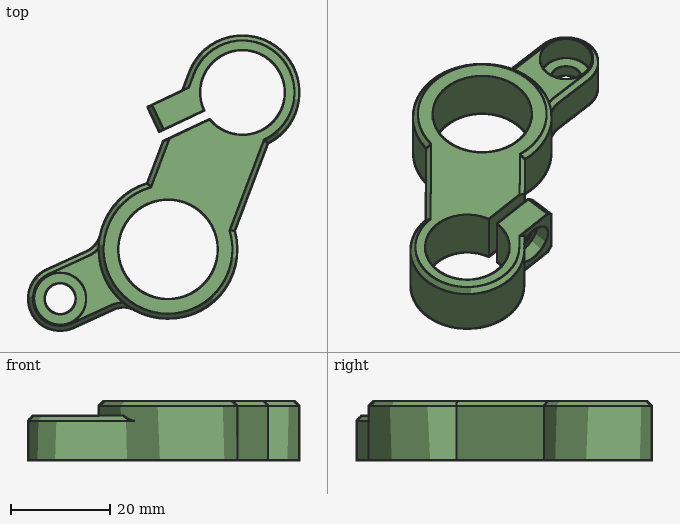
import cadquery as cq
import math

main_radius = 14.0
main_bore_radius = 10.0
height = 12.0
edge_chamfer = 1.0

clamp_x = 15.0
clamp_y = 31.65
clamp_radius = 11.5
clamp_bore_radius = 8.5

arm_angle = 69.25
arm_width = 19.95

lug_angle = 25.3
lug_length = 18.6
lug_width = 5.55
slot_width = 2.0

screw_distance = 13.4
screw_head_radius = 4.25
screw_head_depth = 3.0
screw_clearance_radius = 2.75
screw_thread_radius = 2.1
screw_thread_depth = 11.9

ear_x = -21.75
ear_y = -9.95
ear_radius = 6.5
ear_height = 9.0
ear_fillet = 5.0
ear_blend_overlap = 0.01
ear_hole_radius = 3.1
ear_recess_radius = 5.25
ear_recess_depth = 6.0


def cylinder(x, y, radius, length, base=0):
    return cq.Workplane("XY", origin=(x, y, base)).circle(radius).extrude(length)


def make_arm():
    """Straight web from the main ring to the level of the clamp ring centre."""
    angle = math.radians(arm_angle)
    along = clamp_x * math.cos(angle) + clamp_y * math.sin(angle)
    clamp_left = clamp_y * math.cos(angle) - clamp_x * math.sin(angle)
    left = clamp_left + clamp_radius
    web = cq.Workplane("XY").box(along, arm_width, height, centered=False)
    web = web.translate((0, left - arm_width, 0))
    return web.rotate((0, 0, 0), (0, 0, 1), arm_angle)


def make_ear():
    """Rounded ear blended into the main ring and closed at its centre, pointing along +X."""
    reach = math.hypot(ear_x, ear_y)
    blend_y = ear_radius + ear_fillet
    blend_end_radius = main_radius - ear_blend_overlap
    blend_distance = blend_end_radius + ear_fillet
    blend_x = math.sqrt(blend_distance**2 - blend_y**2)
    ring_x = blend_x * blend_end_radius / blend_distance
    ring_y = blend_y * blend_end_radius / blend_distance
    ring_direction = math.atan2(-blend_y, -blend_x)
    middle = (ring_direction - math.pi / 2) / 2
    middle_x = blend_x + ear_fillet * math.cos(middle)
    middle_y = blend_y + ear_fillet * math.sin(middle)
    ear = (
        cq.Workplane("XY")
        .moveTo(ring_x, ring_y)
        .threePointArc((middle_x, middle_y), (blend_x, ear_radius))
        .lineTo(reach, ear_radius)
        .threePointArc((reach + ear_radius, 0), (reach, -ear_radius))
        .lineTo(blend_x, -ear_radius)
        .threePointArc((middle_x, -middle_y), (ring_x, -ring_y))
        .lineTo(0, 0)
        .close()
        .extrude(ear_height)
        .faces(">Z")
        .edges()
        .filter(lambda edge: edge.Center().x > ring_x)
        .chamfer(edge_chamfer)
    )
    return ear.rotate((0, 0, 0), (0, 0, 1), math.degrees(math.atan2(ear_y, ear_x)))


def place_at_clamp(body):
    """Turn a body drawn about the origin, lug along -X, to the clamp ring."""
    return body.rotate((0, 0, 0), (0, 0, 1), lug_angle).translate((clamp_x, clamp_y, 0))


def make_lug():
    lug = cq.Workplane("XY").box(lug_length, lug_width, height, centered=False)
    lug = lug.translate((-lug_length, 0, 0))
    return place_at_clamp(lug.faces("<X").edges("|Y").chamfer(edge_chamfer))


def make_slot():
    slot_length = 2 * lug_length
    slot = cq.Workplane("XY").box(slot_length, slot_width, height, centered=False)
    return place_at_clamp(slot.translate((-slot_length, -slot_width, 0)))


def screw_bore(radius, start, end):
    """Bore on the screw axis between two distances measured from the slot's lug side."""
    axis_start = cq.Vector(-screw_distance, start, height / 2)
    solid = cq.Solid.makeCylinder(radius, end - start, axis_start, cq.Vector(0, 1, 0))
    return place_at_clamp(cq.Workplane(solid))


rings = cylinder(0, 0, main_radius, height).union(make_arm())
rings = rings.union(cylinder(clamp_x, clamp_y, clamp_radius, height))
rings = rings.faces(">Z").chamfer(edge_chamfer)

result = rings.union(make_ear()).union(make_lug())

result = result.cut(cylinder(0, 0, main_bore_radius, height))
result = result.cut(cylinder(clamp_x, clamp_y, clamp_bore_radius, height))
result = result.cut(make_slot())

head_seat = lug_width - screw_head_depth
head_recess_end = lug_width + clamp_radius
result = result.cut(screw_bore(screw_head_radius, head_seat, head_recess_end))
result = result.cut(screw_bore(screw_clearance_radius, 0, head_seat))
result = result.cut(screw_bore(screw_thread_radius, -slot_width - screw_thread_depth, -slot_width))

result = result.cut(cylinder(ear_x, ear_y, ear_hole_radius, ear_height))
recess_floor = ear_height - ear_recess_depth
result = result.cut(cylinder(ear_x, ear_y, ear_recess_radius, ear_recess_depth, recess_floor))